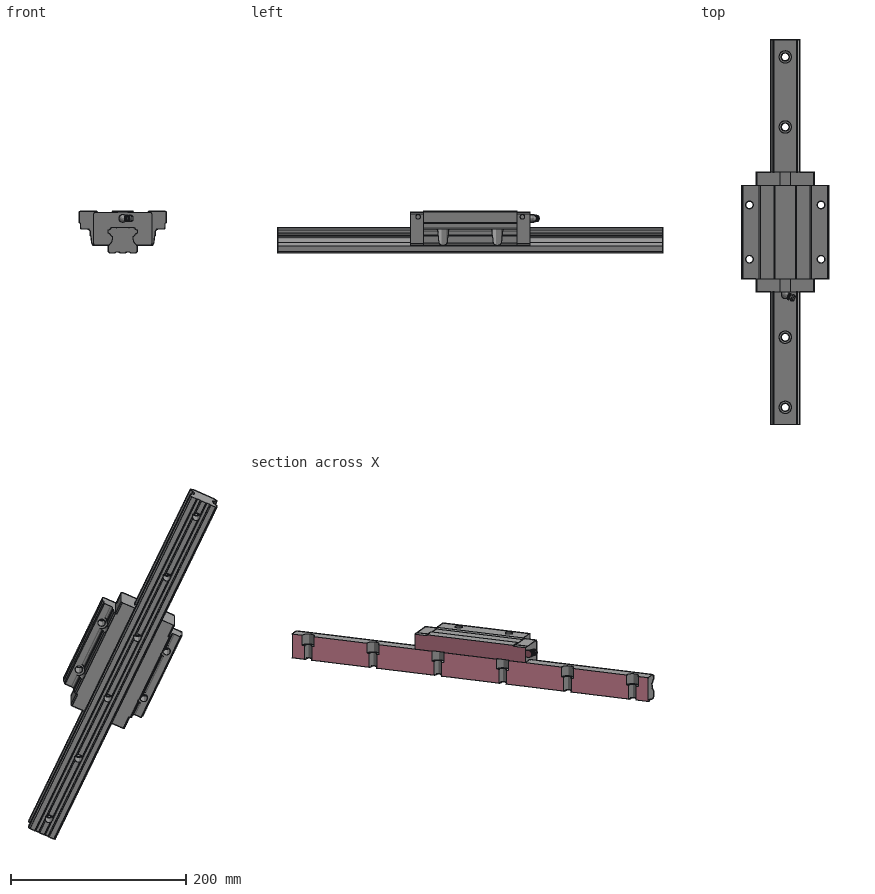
import cadquery as cq


rail_length = 440.0
rail_height = 29.0
rail_half_width = 16.5
rail_top_half_width = 12.8
rail_top_chamfer_x = 1.1
rail_top_chamfer_z = 0.5
head_side_top = 26.5
head_side_bottom = 23.0
upper_track_x = 14.5
upper_track_z = 27.5
lower_track_x = 14.5
lower_track_z = 21.5
lower_track_end_x = 13.5
lower_track_end_z = 20.2
waist_half_width = 11.5
waist_top = 18.5
waist_bottom = 17.0
neck_half_width = 12.8
neck_bottom = 12.5
base_side_top = 8.0
rail_bottom_chamfer = 1.8

rail_groove_offset = 5.95
rail_groove_top_width = 3.5
rail_groove_bottom_width = 6.0
rail_groove_depth = 1.1
rail_hole_count = 6
rail_hole_pitch = 80.0
rail_hole_diameter = 9.0
rail_counterbore_diameter = 14.0
rail_counterbore_depth = 12.0

carriage_top = 48.0
carriage_bottom = 9.0
block_length = 107.0
top_groove_inner = 11.5
top_groove_outer = 30.0
top_groove_depth = 1.55
flange_half_width = 49.95
flange_top_chamfer_x = 1.55
flange_top_chamfer_z = 1.0
flange_side_bottom = 35.0
flange_lip_half_width = 48.5
flange_lip_top = 34.0
flange_bottom = 27.5
flange_bottom_chamfer_x = 0.65
flange_bottom_chamfer_z = 2.0
flange_fillet_radius = 2.5
leg_top_half_width = 37.5
leg_shelf_height = 20.5
leg_step_half_width = 36.5
leg_step_height = 19.5
leg_low_half_width = 35.5
leg_low_height = 11.5
leg_bottom_half_width = 34.0
bolt_spacing_x = 82.0
bolt_spacing_y = 62.0
bolt_diameter = 8.5
bolt_relief_diameter = 14.0

cap_length = 15.0
cap_half_width = 33.65
cap_top = 46.5
cap_chamfer_x = 1.55
cap_chamfer_z = 2.0
cap_strip_width = 12.0
cap_strip_height = 0.2
cap_port_diameter = 5.5
cap_port_depth = 2.5
cap_port_height = 41.5
cap_port_from_block = 6.0

nipple_height = 39.5
nipple_diameter = 9.0
nipple_stem_length = 3.3
spout_angle = 22.5
spout_neck_radius = 3.0
spout_collar_radius = 3.75
spout_waist_radius = 2.4
spout_tip_radius = 3.0
spout_collar_start = 4.5
spout_collar_end = 5.5
spout_head_start = 8.0
spout_head_end = 9.5
spout_length = 11.5


def prism(outline, length):
    """Extrude a closed XZ outline along Y, centred on Y = 0."""
    return outline.close().extrude(length / 2, both=True)


def mirrored(half_outline):
    """Complete the +X half of an outline with its mirror image."""
    return half_outline + [(-x, z) for x, z in reversed(half_outline)]


def rail_blank():
    """Rail without holes, with concave ball tracks above and below each side of the head."""
    track_start_x = rail_top_half_width + rail_top_chamfer_x
    track_start_z = rail_height - rail_top_chamfer_z
    half = (
        cq.Workplane("XZ")
        .moveTo(0, rail_height)
        .lineTo(rail_top_half_width, rail_height)
        .lineTo(track_start_x, track_start_z)
        .threePointArc((upper_track_x, upper_track_z), (rail_half_width, head_side_top))
        .lineTo(rail_half_width, head_side_bottom)
        .threePointArc((lower_track_x, lower_track_z), (lower_track_end_x, lower_track_end_z))
        .lineTo(waist_half_width, waist_top)
        .lineTo(waist_half_width, waist_bottom)
        .lineTo(neck_half_width, neck_bottom)
        .lineTo(rail_half_width, base_side_top)
        .lineTo(rail_half_width, rail_bottom_chamfer)
        .lineTo(rail_half_width - rail_bottom_chamfer, 0)
        .lineTo(0, 0)
    )
    half = prism(half, rail_length)
    return half.union(half.mirror("YZ"))


def make_rail():
    rail = rail_blank()
    for side in (-1, 1):
        groove = cq.Workplane("XZ", origin=(side * rail_groove_offset, 0, 0)).polyline(
            mirrored([
                (rail_groove_top_width / 2, rail_groove_depth),
                (rail_groove_bottom_width / 2, 0),
            ])
        )
        rail = rail.cut(prism(groove, rail_length))
    return (
        rail.faces(">Z").workplane(origin=(0, 0, rail_height))
        .rarray(4.5, rail_hole_pitch, 1, rail_hole_count)
        .cboreHole(rail_hole_diameter, rail_counterbore_diameter, rail_counterbore_depth)
    )


def make_block():
    groove_floor = carriage_top - top_groove_depth
    outline = cq.Workplane("XZ").polyline(
        mirrored([
            (top_groove_inner, carriage_top),
            (top_groove_inner + top_groove_depth, groove_floor),
            (top_groove_outer - top_groove_depth, groove_floor),
            (top_groove_outer, carriage_top),
            (flange_half_width - flange_top_chamfer_x, carriage_top),
            (flange_half_width, carriage_top - flange_top_chamfer_z),
            (flange_half_width, flange_side_bottom),
            (flange_lip_half_width, flange_lip_top),
            (flange_lip_half_width, flange_bottom + flange_bottom_chamfer_z),
            (flange_lip_half_width - flange_bottom_chamfer_x, flange_bottom),
            (leg_top_half_width, flange_bottom),
            (leg_top_half_width, leg_shelf_height),
            (leg_step_half_width, leg_step_height),
            (leg_low_half_width, leg_low_height),
            (leg_bottom_half_width, carriage_bottom),
        ])
    )
    block = prism(outline, block_length)

    for side in (-1, 1):
        corner = (side * leg_top_half_width, 0, flange_bottom)
        block = block.edges(cq.selectors.NearestToPointSelector(corner)).fillet(flange_fillet_radius)

    bolts = cq.Workplane("XY").rarray(bolt_spacing_x, bolt_spacing_y, 2, 2)
    block = block.cut(bolts.circle(bolt_diameter / 2).extrude(carriage_top))
    return block.cut(bolts.circle(bolt_relief_diameter / 2).extrude(flange_bottom))


def make_cap(end):
    """End cap on the +Y (end = 1) or -Y (end = -1) side of the block."""
    middle = end * (block_length + cap_length) / 2
    outline = cq.Workplane("XZ").polyline(
        mirrored([
            (cap_strip_width / 2, cap_top + cap_strip_height),
            (cap_strip_width / 2, cap_top),
            (cap_half_width - cap_chamfer_x, cap_top),
            (cap_half_width, cap_top - cap_chamfer_z),
            (cap_half_width, carriage_bottom + cap_chamfer_z),
            (cap_half_width - cap_chamfer_x, carriage_bottom),
        ])
    )
    cap = prism(outline, cap_length).translate((0, middle, 0))

    port_y = end * (block_length / 2 + cap_port_from_block)
    for side in (-1, 1):
        port = (
            cq.Workplane("YZ", origin=(side * cap_half_width, port_y, cap_port_height))
            .circle(cap_port_diameter / 2)
            .extrude(-side * cap_port_depth)
        )
        cap = cap.cut(port)
    return cap


def make_carriage():
    """Block and end caps in one piece, with a passage that fits the rail."""
    carriage = make_block().union(make_cap(1)).union(make_cap(-1))
    return carriage.cut(rail_blank())


def make_nipple():
    """Round stem standing on the -Y end cap, a ball at the bend and a stepped spout toward +X."""
    cap_face = -(block_length / 2 + cap_length)
    bend = (0, cap_face - nipple_stem_length, nipple_height)
    radius = nipple_diameter / 2
    stem = (
        cq.Workplane("XZ", origin=(0, cap_face, nipple_height))
        .circle(radius)
        .extrude(nipple_stem_length)
    )
    front_half = cq.Workplane("XZ", origin=bend).circle(radius).extrude(radius)
    dome = cq.Workplane("XY", origin=bend).sphere(radius).intersect(front_half)
    spout = (
        cq.Workplane("XY")
        .polyline([
            (0, 0),
            (0, spout_neck_radius),
            (spout_collar_start, spout_neck_radius),
            (spout_collar_start, spout_collar_radius),
            (spout_collar_end, spout_collar_radius),
            (spout_collar_end, spout_waist_radius),
            (spout_head_start, spout_waist_radius),
            (spout_head_start, spout_collar_radius),
            (spout_head_end, spout_collar_radius),
            (spout_length, spout_tip_radius),
            (spout_length, 0),
        ])
        .close()
        .revolve(360, (0, 0), (1, 0))
        .rotate((0, 0, 0), (0, 0, 1), -spout_angle)
        .translate(bend)
    )
    return stem.union(dome).union(spout)


rail = make_rail().solids()
carriage = make_carriage().solids()
nipple = make_nipple().solids()
result = cq.Compound.makeCompound([rail.val(), carriage.val(), nipple.val()])